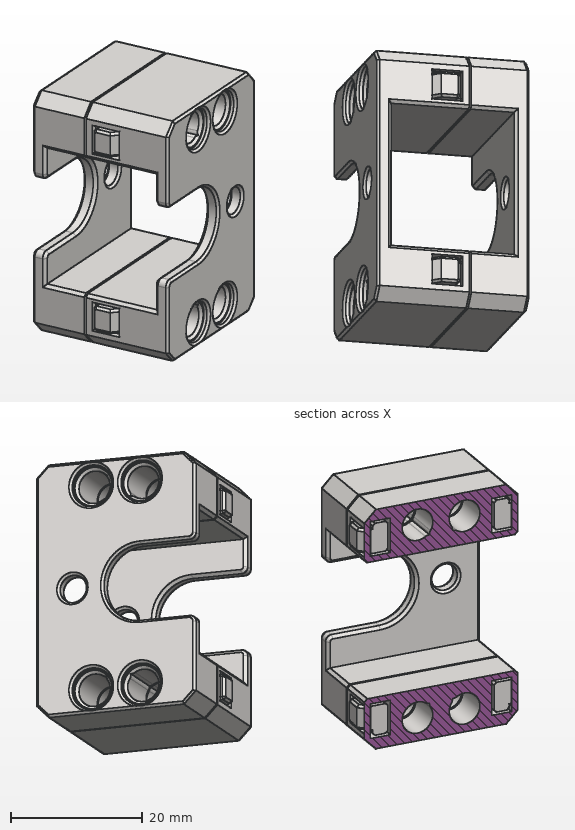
import cadquery as cq
import math

length = 24.0
depth = 26.0
height = 39.8
corner_cut = 2.0
edge_chamfer = 0.4
end_x = length / 2
front_y = -depth / 2

plate_thickness = 2.3
inner_x = end_x - plate_thickness
inner_height = 22.53
mouth_chamfer = 0.5

cover_length = 9.15
gap = 0.3
cover_face_x = -end_x + cover_length
base_face_x = cover_face_x + gap

notch_radius = 6.0
notch_y = -3.98
notch_mouth_radius = 1.0

cable_hole_diameter = 4.3
cable_hole_y = 7.05
bore_diameter = 5.1
bore_chamfer = 0.48
bore_y = 3.98
bore_z = 16.0
counterbore_diameter = 6.5
counterbore_depth = 0.95
groove_reach = 2.0
groove_rounding = 1.2

arm_inner_y = 8.95
arm_outer_y = 11.55
arm_bottom_z = 12.65
arm_top_z = 17.6
arm_tip_x = 3.35
arm_chamfer = 0.4
hook_chamfer = 0.4
hook_start_x = -1.0
hook_height_z = 4.0
hook_protrusion = 0.6
hook_outer_y = depth / 2 + hook_protrusion
hook_ramp_x = 2.05
hook_tip_y = hook_outer_y - (arm_tip_x - hook_ramp_x)

clearance = 0.35
window_start_x = -1.47
window_end_x = arm_tip_x

select_margin = 0.005

signs = (-1, 1)
corners = [(side_y, side_z) for side_y in signs for side_z in signs]


def box(x_range, y_range, z_range):
    """Box between the given limits."""
    sizes = [high - low for low, high in (x_range, y_range, z_range)]
    return cq.Workplane("XY").box(*sizes, centered=False).translate(
        (x_range[0], y_range[0], z_range[0])
    )


def to_corner(shape, side_y, side_z):
    """Mirror a shape made at +Y, +Z to another corner."""
    if side_y < 0:
        shape = shape.mirror("XZ")
    if side_z < 0:
        shape = shape.mirror("XY")
    return shape


def countersink(x, y, z, radius, chamfer, direction):
    """45 degree countersink of a hole, narrowing to the hole radius along the X direction given."""
    return cq.Workplane(
        cq.Solid.makeCone(
            radius + chamfer,
            radius,
            chamfer,
            cq.Vector(x, y, z),
            cq.Vector(direction, 0, 0),
        )
    )


def cylinder(x_start, x_end, y, z, radius):
    """Cylinder along X."""
    return cq.Workplane("YZ", origin=(x_start, y, z)).circle(radius).extrude(x_end - x_start)


def diamond(x, half_diagonal):
    """Square in the YZ plane with its corners on the axes."""
    return cq.Workplane("YZ", origin=(x, 0, 0)).polygon(4, 2 * half_diagonal)


def corner_limits():
    """Diamond-shaped prism whose sides cut the four long corners, bevelled at both ends."""
    half_diagonal = (depth + height) / 2 - corner_cut
    straight_x = end_x - edge_chamfer
    prism = diamond(-straight_x, half_diagonal).extrude(2 * straight_x)
    for end in signs:
        bevel = (
            diamond(end * straight_x, half_diagonal)
            .workplane(offset=end * edge_chamfer)
            .polygon(4, 2 * (half_diagonal - edge_chamfer))
            .loft()
        )
        prism = prism.union(bevel)
    return prism


def outer_block():
    """Block with cut corners and the front notch, chamfered around both ends."""
    block = cq.Workplane("XY").box(length, depth, height)
    notch = cylinder(-end_x, end_x, notch_y, 0, notch_radius).union(
        box((-end_x, end_x), (front_y, notch_y), (-notch_radius, notch_radius))
    )
    mouth_edges = cq.selectors.BoxSelector(
        (-end_x, front_y - select_margin, -notch_radius - select_margin),
        (end_x, front_y + select_margin, notch_radius + select_margin),
    )
    block = block.cut(notch).edges(mouth_edges).edges("|X").fillet(notch_mouth_radius)
    block = block.faces("<X or >X").chamfer(edge_chamfer)
    return block.intersect(corner_limits())


def hollow(block):
    """Cut the inner space and chamfer its mouths, including the inner notch edges."""
    inner_z = inner_height / 2
    hollowed = block.cut(box((-inner_x, inner_x), (front_y, -front_y), (-inner_z, inner_z)))
    rims = cq.selectors.BoxSelector(
        (-inner_x - select_margin, front_y - select_margin, -inner_z - select_margin),
        (inner_x + select_margin, -front_y + select_margin, inner_z + select_margin),
        boundingbox=True,
    )
    rim_edges = hollowed.edges(rims).filter(lambda edge: edge.Length() < depth - select_margin)
    return rim_edges.chamfer(mouth_chamfer)


def grooved_bore():
    """Through bore at +Y, +Z with a corner groove toward the middle, blended into the bore."""
    bore_radius = bore_diameter / 2
    bore = cylinder(-end_x, end_x, bore_y, bore_z, bore_radius)
    round_a = groove_reach + groove_rounding
    round_b = math.sqrt((bore_radius + groove_rounding) ** 2 - round_a**2)
    touch_scale = bore_radius / (bore_radius + groove_rounding)
    touch_a = round_a * touch_scale
    touch_b = round_b * touch_scale
    half_turn = math.atan2(round_b, round_a) / 2
    middle_a = round_a - groove_rounding * math.cos(half_turn)
    middle_b = round_b - groove_rounding * math.sin(half_turn)
    groove_end = end_x - counterbore_depth
    groove = (
        cq.Workplane("YZ", origin=(-groove_end, bore_y, bore_z))
        .lineTo(-touch_a, -touch_b)
        .threePointArc((-middle_a, -middle_b), (-groove_reach, -round_b))
        .lineTo(-groove_reach, -groove_reach)
        .lineTo(-round_b, -groove_reach)
        .threePointArc((-middle_b, -middle_a), (-touch_b, -touch_a))
        .close()
        .extrude(2 * groove_end)
    )
    return bore.union(groove)


def cut_cable_hole(frame):
    """Cable hole in both end plates, countersunk on both sides of each plate."""
    radius = cable_hole_diameter / 2
    frame = frame.cut(cylinder(-end_x, end_x, cable_hole_y, 0, radius))
    for end in signs:
        frame = frame.cut(countersink(end * end_x, cable_hole_y, 0, radius, edge_chamfer, -end))
        frame = frame.cut(countersink(end * inner_x, cable_hole_y, 0, radius, edge_chamfer, end))
    return frame


def cut_bores(frame):
    """Four bores along the whole length, counterbored and countersunk at both ends."""
    bore = grooved_bore()
    counterbore_radius = counterbore_diameter / 2
    for side_y, side_z in corners:
        frame = frame.cut(to_corner(bore, side_y, side_z))
        y = side_y * bore_y
        z = side_z * bore_z
        for end in signs:
            face_x = end * end_x
            floor_x = face_x - end * counterbore_depth
            frame = frame.cut(countersink(face_x, y, z, counterbore_radius, edge_chamfer, -end))
            frame = frame.cut(cylinder(face_x, floor_x, y, z, counterbore_radius))
            frame = frame.cut(countersink(floor_x, y, z, bore_diameter / 2, bore_chamfer, -end))
    return frame


def frame_part(x_start, x_end):
    """The stretch of the complete frame between two X positions."""
    frame = cut_bores(cut_cable_hole(hollow(outer_block())))
    return frame.intersect(box((x_start, x_end), (-depth, depth), (-height, height)))


def snap_arm():
    """Arm with a hook, at the +Y, +Z corner."""
    arm = box((cover_face_x, arm_tip_x), (arm_inner_y, arm_outer_y), (arm_bottom_z, arm_top_z))
    arm = arm.edges("|X").chamfer(arm_chamfer)
    root_y = arm_outer_y - arm_chamfer
    hook = (
        cq.Workplane("XY", origin=(0, 0, arm_bottom_z))
        .moveTo(hook_start_x, root_y)
        .lineTo(hook_start_x, hook_outer_y)
        .lineTo(hook_ramp_x, hook_outer_y)
        .lineTo(arm_tip_x, hook_tip_y)
        .lineTo(arm_tip_x, root_y)
        .close()
        .extrude(hook_height_z)
    )
    hook = hook.faces("<X").edges("|Y").chamfer(hook_chamfer)
    ramp_sides = cq.selectors.BoxSelector(
        (hook_ramp_x, hook_tip_y, arm_bottom_z - select_margin),
        (arm_tip_x, hook_outer_y, arm_top_z),
    )
    top_edges = hook.faces(">Y").edges("not >X")
    hook = top_edges.add(hook.edges(ramp_sides).edges("not |Z")).chamfer(hook_chamfer)
    return arm.union(hook)


def arm_room():
    """Pocket for an arm and the window for its hook, at the +Y, +Z corner."""
    bottom_z = arm_bottom_z - clearance
    pocket = box(
        (base_face_x, arm_tip_x + clearance),
        (arm_inner_y - clearance, arm_outer_y + clearance),
        (bottom_z, arm_top_z + clearance),
    )
    window = box(
        (window_start_x, window_end_x),
        (arm_outer_y, depth / 2),
        (bottom_z, arm_bottom_z + hook_height_z + clearance),
    )
    return pocket.union(window)


def make_cover():
    """-X half with four snap arms."""
    cover = frame_part(-end_x, cover_face_x)
    for side_y, side_z in corners:
        cover = cover.union(to_corner(snap_arm(), side_y, side_z))
    return cover


def make_base():
    """+X half with a pocket and a window for each snap arm."""
    base = frame_part(base_face_x, end_x)
    for side_y, side_z in corners:
        base = base.cut(to_corner(arm_room(), side_y, side_z))
    return base


cover = make_cover()
base = make_base()

result = cq.Compound.makeCompound([cover.solids().val(), base.solids().val()])